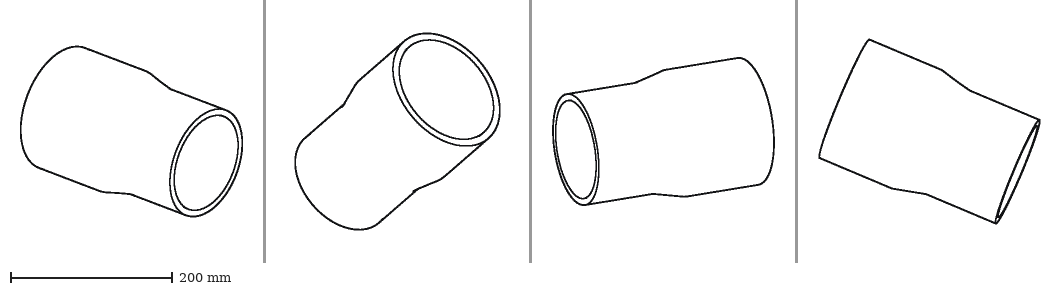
import cadquery as cq

total_length = 234.0
large_length = 98.0
small_length = 94.0

large_outer_diameter = 160.0
large_bore_diameter = 141.0
small_outer_diameter = 140.0
small_bore_diameter = 123.4

taper_start = large_length
taper_end = total_length - small_length


def revolved_body(large_diameter, small_diameter):
    """Solid of revolution about X: large cylinder, conical taper, small cylinder."""
    large_radius = large_diameter / 2
    small_radius = small_diameter / 2
    return (
        cq.Workplane("XZ")
        .moveTo(0, 0)
        .lineTo(0, large_radius)
        .lineTo(taper_start, large_radius)
        .lineTo(taper_end, small_radius)
        .lineTo(total_length, small_radius)
        .lineTo(total_length, 0)
        .close()
        .revolve(360, (0, 0, 0), (1, 0, 0))
    )


outer_body = revolved_body(large_outer_diameter, small_outer_diameter)
bore = revolved_body(large_bore_diameter, small_bore_diameter)

result = outer_body.cut(bore)